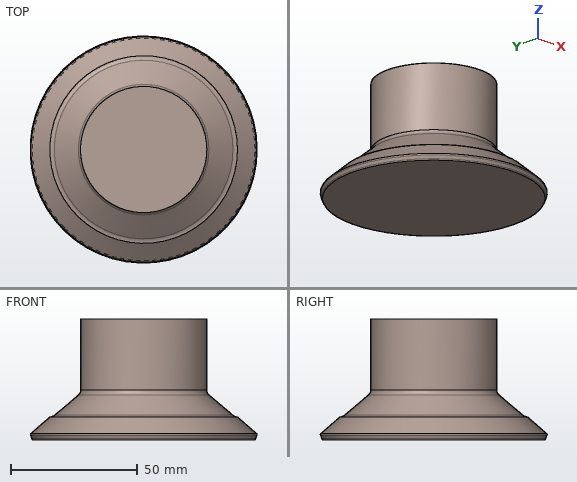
import cadquery as cq
import math

OUTER_RADIUS = 45.0
TOTAL_HEIGHT = 48.0

STEM_RADIUS = 50.0 / 2
STEM_BOTTOM = 19.8

FLARE_ANGLE = math.radians(41)
NECK_FILLET = 2.5
LEDGE_RADIUS = 37.2
LEDGE_FILLET = 2.7

RIM_TOP_RADIUS = OUTER_RADIUS - 0.4
RIM_TOP = 2.7
RIM_WIDEST = 2.25
RIM_LOWER_RADIUS = OUTER_RADIUS - 0.1
RIM_LOWER = 1.9
TAPER_RADIUS = OUTER_RADIUS - 0.6
TAPER_BOTTOM = 0.5
FOOT_RADIUS = OUTER_RADIUS - 0.9


def arc_point(centre, radius, angle):
    """Point on a circle in the radius-height plane."""
    return (centre[0] + radius * math.cos(angle), centre[1] + radius * math.sin(angle))


def make_stem():
    """Plain cylinder standing on the neck of the base."""
    height = TOTAL_HEIGHT - STEM_BOTTOM
    return cq.Workplane("XY").workplane(offset=STEM_BOTTOM).circle(STEM_RADIUS).extrude(height)


def make_base():
    """Flared base, revolved from its half profile."""
    ledge_height = RIM_TOP + (RIM_TOP_RADIUS - LEDGE_RADIUS) * math.tan(FLARE_ANGLE)

    ledge_centre = (LEDGE_RADIUS, ledge_height + LEDGE_FILLET)
    level = math.radians(-90)
    cone_normal = level - FLARE_ANGLE
    ledge_middle = arc_point(ledge_centre, LEDGE_FILLET, (level + cone_normal) / 2)
    cone_bottom = arc_point(ledge_centre, LEDGE_FILLET, cone_normal)

    neck_centre = (STEM_RADIUS + NECK_FILLET, STEM_BOTTOM)
    upright = math.radians(-180)
    cone_top = arc_point(neck_centre, NECK_FILLET, cone_normal)
    neck_middle = arc_point(neck_centre, NECK_FILLET, (cone_normal + upright) / 2)

    profile = (
        cq.Workplane("XZ")
        .lineTo(FOOT_RADIUS, 0)
        .lineTo(TAPER_RADIUS, TAPER_BOTTOM)
        .lineTo(RIM_LOWER_RADIUS, RIM_LOWER)
        .threePointArc((OUTER_RADIUS, RIM_WIDEST), (RIM_TOP_RADIUS, RIM_TOP))
        .lineTo(LEDGE_RADIUS, ledge_height)
        .threePointArc(ledge_middle, cone_bottom)
        .lineTo(*cone_top)
        .threePointArc(neck_middle, (STEM_RADIUS, STEM_BOTTOM))
        .lineTo(0, STEM_BOTTOM)
        .close()
    )
    return profile.revolve(360, (0, 0, 0), (0, 1, 0))


stem = make_stem()
base = make_base()

result = cq.Compound.makeCompound([stem.val(), base.val()])